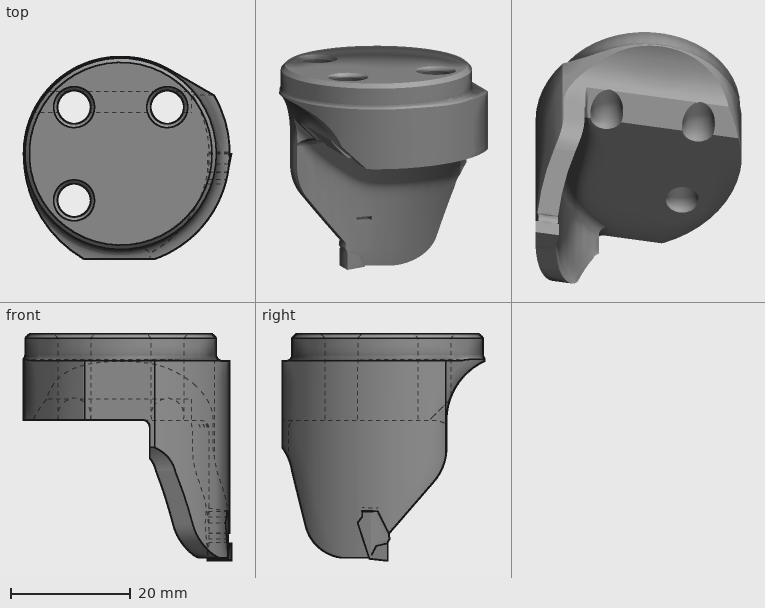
import cadquery as cq
import math

REACH = 45.6

disc_top = 38.0
disc_radius = 32.0 / 2
disc_chamfer = 0.72
neck_radius = 1.0
flange_top = 33.45

flange_radius = 16.25
left_arc_radius = 20.4
front_flat_y = -17.65
corner_break = 0.1
corner_break_length = 0.3
front_flat_right = 5.65
blade_outer_x = 18.25
side_flat_angle = 60.0
side_flat_end_x = 15.6

hole_diameter = 5.5
hole_offset = 7.8
hole_chamfer = 0.665

underside = 23.55
recess_radius = 18.9
recess_center_x = -4.15
recess_fillet = 1.45
lip_x = 4.83
lip_fillet = 1.15

foot_bottom = 0.55
back_y = 9.88
back_arc_radius = 10.83
back_arc_center_z = 23.55
back_straight_end = 19.38
back_slope_top = (7.7, 13.22)
back_slope_bottom = (0.35, 4.7)
behind_insert = (-1.9, 3.42)
front_curve_start_z = 19.0
front_curve_middle = (-16.6, 17.2)
front_curve_end = (-16.0, 15.0)
front_slope_bottom = (-13.75, 5.93)
bottom_front_y = -7.8

bevel_y = 6.9
bevel_size = 4.55
bevel_end_x = 11.78

tip_inner_x = 14.5
tip_outer_x = 18.55
tip_front_outer_x = 17.95
tip_back_y = 0.05
shank_outer_x = 18.0
insert_top = 8.3
insert_top_back = -1.65
insert_top_front = -4.25
roof_rise = 0.75
insert_foot = (-3.05, 0.35)
insert_front_notch_z = 7.4
insert_front_corner = (-5.0, 6.4)
insert_back_neck_z = 3.1
insert_back_low = (0.35, 3.72)
insert_back_high = (0.2, 4.6)
tip_ledge_back_z = 2.95
tip_ledge_front = (-1.9, 2.5)


def flange_outline():
    """Plan outline of flange and blade."""
    left_center_x = left_arc_radius - flange_radius
    left_end_y = front_flat_y + corner_break
    left_end_x = left_center_x - math.sqrt(left_arc_radius**2 - left_end_y**2)
    left_mid_y = left_end_y / 2
    left_mid_x = left_center_x - math.sqrt(left_arc_radius**2 - left_mid_y**2)

    normal = math.radians(side_flat_angle)
    tangent_x = flange_radius * math.cos(normal)
    tangent_y = flange_radius * math.sin(normal)
    side_flat_end_y = tangent_y - (side_flat_end_x - tangent_x) / math.tan(normal)
    back_mid = flange_radius * math.sqrt(0.5)

    return (
        cq.Workplane("XY")
        .moveTo(-flange_radius, 0)
        .threePointArc((left_mid_x, left_mid_y), (left_end_x, left_end_y))
        .lineTo(left_end_x + corner_break_length, front_flat_y)
        .lineTo(front_flat_right, front_flat_y)
        .threePointArc((blade_outer_x, 0), (side_flat_end_x, side_flat_end_y))
        .lineTo(tangent_x, tangent_y)
        .threePointArc((-back_mid, back_mid), (-flange_radius, 0))
        .close()
    )


def side_envelope():
    """Side profile of flange and blade, extruded along X."""
    back_center_y = back_y + back_arc_radius
    arc_top_y = back_center_y - math.sqrt(back_arc_radius**2 - (flange_top - back_arc_center_z)**2)
    arc_mid = math.radians(150)
    profile = (
        cq.Workplane("YZ")
        .moveTo(front_flat_y, flange_top)
        .lineTo(front_flat_y, front_curve_start_z)
        .threePointArc(front_curve_middle, front_curve_end)
        .lineTo(*front_slope_bottom)
        .tangentArcPoint((bottom_front_y, foot_bottom), relative=False)
        .lineTo(insert_foot[0], foot_bottom)
        .lineTo(*behind_insert)
        .lineTo(*back_slope_bottom)
        .lineTo(*back_slope_top)
        .tangentArcPoint((back_y, back_straight_end), relative=False)
        .lineTo(back_y, back_arc_center_z)
        .threePointArc(
            (
                back_center_y + back_arc_radius * math.cos(arc_mid),
                back_arc_center_z + back_arc_radius * math.sin(arc_mid),
            ),
            (arc_top_y, flange_top),
        )
        .close()
    )
    return profile.extrude(REACH, both=True)


def recess_cylinder():
    """Concave space inside the blade, rounded where it meets the underside."""
    return (
        cq.Workplane("XY")
        .center(recess_center_x, 0)
        .circle(recess_radius)
        .extrude(underside)
        .faces(">Z")
        .edges()
        .fillet(recess_fillet)
    )


def underside_cutter():
    """Everything removed below the flange on the inner side of the blade."""
    lip = (
        cq.Workplane("XY")
        .box(REACH, REACH, underside, centered=(False, True, False))
        .translate((lip_x - REACH, 0, 0))
        .edges("|Y and >X and >Z")
        .fillet(lip_fillet)
    )
    return recess_cylinder().union(lip)


def back_bevel_cutter():
    """45 degree bevel along the back lower edge of the flange, ending at the blade."""
    lowest = underside - recess_fillet
    return (
        cq.Workplane("YZ", origin=(bevel_end_x - REACH, 0, 0))
        .polyline(
            [
                (bevel_y, lowest),
                (bevel_y, underside),
                (bevel_y + bevel_size, underside + bevel_size),
                (bevel_y + bevel_size, lowest),
            ]
        )
        .close()
        .extrude(REACH)
    )


def disc_and_neck():
    """Chamfered disc with a concave neck, cut off at the flange outline."""
    neck_top = flange_top + neck_radius
    neck_base_radius = disc_radius + neck_radius
    bend = neck_radius * (1 - math.sqrt(0.5))
    neck = (
        cq.Workplane("XZ")
        .moveTo(0, flange_top)
        .lineTo(neck_base_radius, flange_top)
        .threePointArc((disc_radius + bend, flange_top + bend), (disc_radius, neck_top))
        .lineTo(0, neck_top)
        .close()
        .revolve(360, (0, 0), (0, 1))
        .intersect(flange_outline().extrude(REACH))
    )
    disc = (
        cq.Workplane("XY", origin=(0, 0, neck_top))
        .circle(disc_radius)
        .extrude(disc_top - neck_top)
        .faces(">Z")
        .chamfer(disc_chamfer)
    )
    return neck.union(disc)


def screw_holes():
    """Three chamfered through holes."""
    places = [
        (-hole_offset, hole_offset),
        (hole_offset, hole_offset),
        (-hole_offset, -hole_offset),
    ]
    mouth_radius = hole_diameter / 2 + hole_chamfer
    drills = cq.Workplane("XY").pushPoints(places).circle(hole_diameter / 2).extrude(disc_top)
    for x, y in places:
        mouth = cq.Solid.makeCone(
            mouth_radius,
            hole_diameter / 2,
            hole_chamfer,
            pnt=cq.Vector(x, y, disc_top),
            dir=cq.Vector(0, 0, -1),
        )
        drills = drills.union(cq.Workplane(mouth))
    return drills


def insert_blank():
    """Side outline of the insert, extruded across the blade."""
    return (
        cq.Workplane("YZ")
        .polyline(
            [
                (insert_top_back, insert_top),
                (insert_top_front, insert_top),
                (insert_top_front, insert_front_notch_z),
                insert_front_corner,
                insert_foot,
                (tip_back_y, 0),
                (tip_back_y, insert_back_neck_z),
                insert_back_low,
                insert_back_high,
            ]
        )
        .close()
        .extrude(REACH)
    )


def roof_clearance():
    """Wedge above the insert whose roof rises toward the inner side of the blade."""
    return (
        cq.Workplane("XZ", origin=(0, insert_top_back, 0))
        .polyline(
            [
                (tip_inner_x - roof_rise, insert_top),
                (blade_outer_x, insert_top),
                (tip_inner_x - roof_rise, insert_top + roof_rise),
            ]
        )
        .close()
        .extrude(insert_top_back - insert_top_front)
    )


def make_holder():
    body = flange_outline().extrude(flange_top).intersect(side_envelope())
    body = body.cut(underside_cutter()).cut(back_bevel_cutter())
    body = body.union(disc_and_neck()).cut(screw_holes())
    return body.cut(insert_blank()).cut(roof_clearance())


def make_insert():
    shank_limit = (
        cq.Workplane("XY").box(shank_outer_x, REACH, underside, centered=(False, True, False))
    )
    blade_space = flange_outline().extrude(underside).cut(recess_cylinder())
    shank = insert_blank().intersect(shank_limit).intersect(blade_space)

    tip_zone = (
        cq.Workplane("YZ", origin=(tip_inner_x, 0, 0))
        .polyline([(tip_back_y, 0), (tip_back_y, tip_ledge_back_z), tip_ledge_front, insert_foot])
        .close()
        .extrude(tip_outer_x - tip_inner_x)
    )
    tip_plan = (
        cq.Workplane("XY")
        .polyline(
            [
                (tip_inner_x, tip_back_y),
                (tip_outer_x, tip_back_y),
                (tip_front_outer_x, insert_foot[0]),
                (tip_inner_x, insert_foot[0]),
            ]
        )
        .close()
        .extrude(underside)
    )
    return shank.union(tip_zone.intersect(tip_plan))


holder = make_holder()
insert = make_insert()
result = cq.Compound.makeCompound([holder.val(), insert.val()])